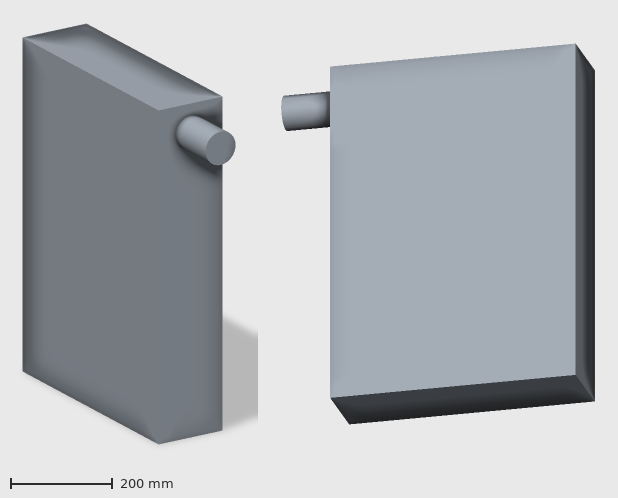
import cadquery as cq

body_width = 500.0
body_depth = 150.0
body_height = 700.0

stub_diameter = 70.0
stub_length = 110.0
stub_drop = 60.0


def make_body():
    """Plain block with one bottom corner at the origin."""
    return cq.Workplane("XY").box(body_width, body_depth, body_height, centered=False)


def make_stub():
    """Solid cylinder standing out of the +X face, centred across the depth."""
    axis_start = (body_width, body_depth / 2, body_height - stub_drop)
    return cq.Workplane("YZ", origin=axis_start).circle(stub_diameter / 2).extrude(stub_length)


result = make_body().union(make_stub())